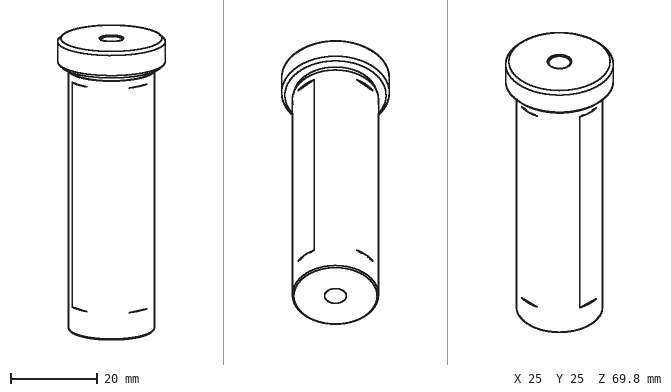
import cadquery as cq

total_height = 69.85
head_diameter = 25.0
head_height = 6.35
head_chamfer = 0.8

shank_diameter = 20.0
shank_chamfer = 0.35
neck_diameter = 19.3
neck_height = 1.25

flat_count = 4
flat_bottom = 6.4
flat_top = 60.35

bore_diameter = 5.0
bore_chamfer = 0.3

head_bottom = total_height - head_height
shank_top = head_bottom - neck_height


def cylinder(diameter, bottom, top):
    """Upright cylinder on the Z axis between two heights."""
    return cq.Workplane("XY").workplane(offset=bottom).circle(diameter / 2).extrude(top - bottom)


def flat_cutter(angle):
    """Block that removes everything outside one flat, turned about Z."""
    flat_distance = neck_diameter / 2
    block = cq.Workplane("XY").box(
        shank_diameter,
        shank_diameter,
        flat_top - flat_bottom,
        centered=(False, True, False),
    )
    return block.translate((flat_distance, 0, flat_bottom)).rotate((0, 0, 0), (0, 0, 1), angle)


shank = cylinder(shank_diameter, 0, shank_top).faces("<Z").chamfer(shank_chamfer)
for index in range(flat_count):
    shank = shank.cut(flat_cutter(index * 360 / flat_count))

neck = cylinder(neck_diameter, shank_top, head_bottom)
head = cylinder(head_diameter, head_bottom, total_height).edges("%CIRCLE").chamfer(head_chamfer)

bore = cylinder(bore_diameter, 0, total_height)
result = shank.union(neck).union(head).cut(bore)
result = result.faces(">Z").edges(cq.selectors.RadiusNthSelector(0)).chamfer(bore_chamfer)